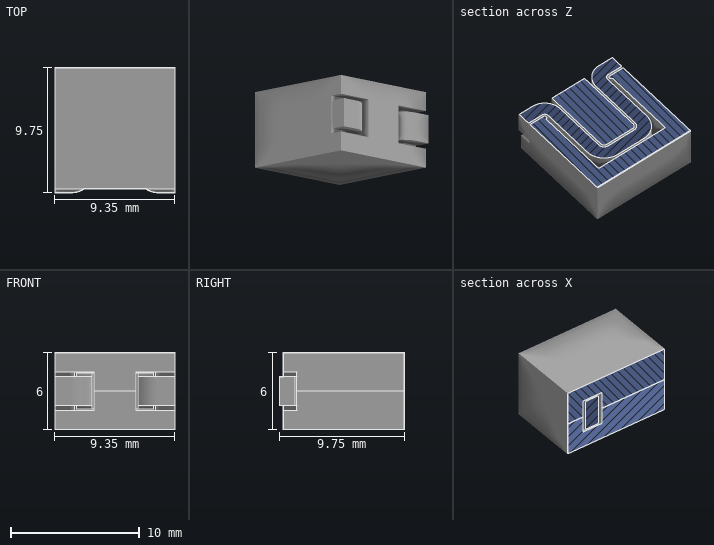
import cadquery as cq


width = 9.35
depth = 9.75
height = 6.0
tape_thickness = 0.04
foot_standoff = 0.3
core_front = foot_standoff
core_back = depth - tape_thickness

wire_thickness = 1.2
foot_height = 2.24
bar_height = 2.8
foot_length = 1.36
bend_inner_radius = 0.33
bar_inner_radius = 0.49
bend_outer_radius = bend_inner_radius + wire_thickness
shoulder_radius = (bar_height - foot_height) / 2
bend_center_x = width / 2 - foot_length
leg_outer_x = bend_center_x - bend_inner_radius
leg_inner_x = leg_outer_x - wire_thickness
bend_end_y = wire_thickness + bend_inner_radius

clearance = 0.15
channel_height = 2.99
core_wall = (height - channel_height) / 2
island_radius = bar_inner_radius - clearance
lip_radius = bend_inner_radius - clearance
channel_outer_x = bend_center_x
channel_inner_x = leg_inner_x - clearance
channel_back = core_back - core_wall
pocket_back = wire_thickness + clearance
bar_back = channel_back - clearance
island_back = bar_back - wire_thickness - clearance

CENTERED_XZ = (True, False, True)


def rounded_block(half_width, front, back, block_height, corner_radius):
    """Block centred in X and Z, with its two +Y vertical edges rounded."""
    block = cq.Workplane().box(2 * half_width, back - front, block_height, centered=CENTERED_XZ)
    return block.edges("|Z and >Y").fillet(corner_radius).translate((0, front, 0))


def u_band(outer_x, inner_x, front, back, band_height, inner_radius):
    """U-shaped bar, open toward -Y, of constant thickness."""
    thickness = outer_x - inner_x
    outer = rounded_block(outer_x, front, back, band_height, inner_radius + thickness)
    inner = rounded_block(inner_x, front, back - thickness, band_height, inner_radius)
    return outer.cut(inner)


def make_foot(side):
    """Foot and its quarter bend; side is -1 for the -X foot and +1 for the +X foot."""
    diagonal = 0.5 ** 0.5
    bend_x = side * bend_center_x
    outer_mid = (bend_x - side * bend_outer_radius * diagonal, bend_end_y - bend_outer_radius * diagonal)
    inner_mid = (bend_x - side * bend_inner_radius * diagonal, bend_end_y - bend_inner_radius * diagonal)
    return (
        cq.Workplane()
        .moveTo(side * width / 2, 0)
        .lineTo(bend_x, 0)
        .threePointArc(outer_mid, (side * leg_inner_x, bend_end_y))
        .lineTo(side * leg_outer_x, bend_end_y)
        .threePointArc(inner_mid, (bend_x, wire_thickness))
        .lineTo(side * width / 2, wire_thickness)
        .close()
        .extrude(foot_height / 2, both=True)
    )


def make_conductor():
    """U-shaped bar with rounded shoulders where the narrower feet join it."""
    bar = u_band(leg_outer_x, leg_inner_x, bend_end_y, bar_back, bar_height, bar_inner_radius)
    bar = bar.faces("<Y").edges("|X").fillet(shoulder_radius)
    for side in (-1, 1):
        bar = bar.union(make_foot(side))
    return bar


def make_lip(side):
    """Half-round core rib inside the bend of one foot, concentric with that bend."""
    rib = (
        cq.Workplane()
        .center(side * bend_center_x, bend_end_y)
        .moveTo(0, -lip_radius)
        .threePointArc((-side * lip_radius, 0), (0, lip_radius))
        .close()
    )
    return rib.extrude(channel_height / 2, both=True)


def make_channel():
    """Space inside the core: a U-shaped channel with an open pocket behind each foot."""
    channel_depth = channel_back - core_front
    channel = cq.Workplane().box(2 * channel_outer_x, channel_depth, channel_height, centered=CENTERED_XZ)
    channel = channel.translate((0, core_front, 0))
    island = rounded_block(channel_inner_x, core_front, island_back, channel_height, island_radius)
    channel = channel.cut(island)
    pocket_length = width / 2 - channel_inner_x
    pocket_depth = pocket_back - core_front
    pocket = cq.Workplane().box(pocket_length, pocket_depth, channel_height, centered=CENTERED_XZ)
    for side in (-1, 1):
        pocket_x = side * (channel_inner_x + pocket_length / 2)
        channel = channel.union(pocket.translate((pocket_x, core_front, 0)))
        channel = channel.cut(make_lip(side))
    return channel


def make_core_half(side, channel):
    """Half of the core below (side -1) or above (side +1) the Z = 0 parting plane."""
    block = cq.Workplane().box(width, core_back - core_front, height / 2, centered=CENTERED_XZ)
    return block.translate((0, core_front, side * height / 4)).cut(channel)


def make_tape():
    """Thin sheet covering the whole +Y side of both core halves."""
    tape = cq.Workplane().box(width, tape_thickness, height, centered=CENTERED_XZ)
    return tape.translate((0, core_back, 0))


conductor = make_conductor()
core_channel = make_channel()
core_halves = [make_core_half(side, core_channel) for side in (-1, 1)]
tape = make_tape()

result = cq.Compound.makeCompound([*(half.val() for half in core_halves), conductor.val(), tape.val()])